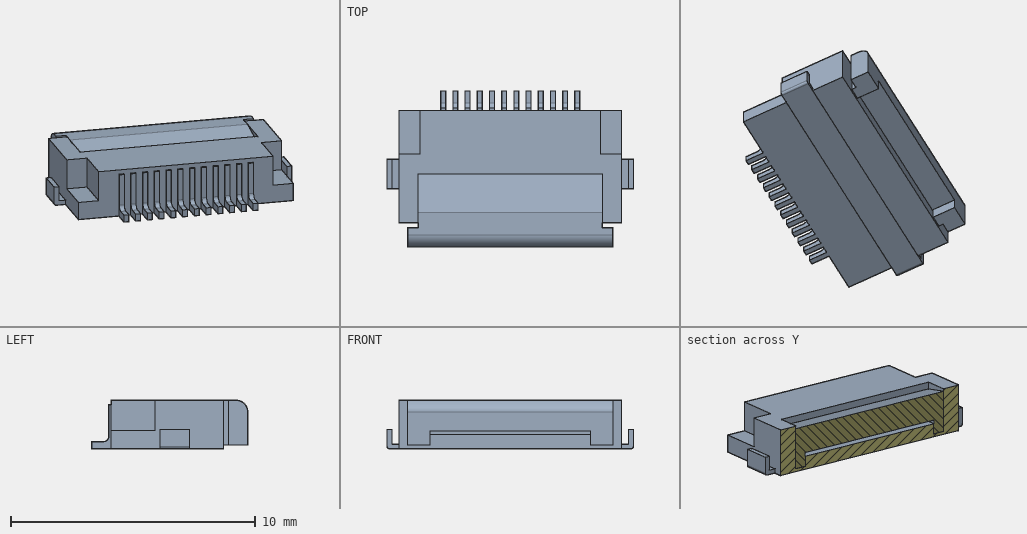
import cadquery as cq


total_width = 10.1
total_depth = 6.4
height = 2.0

housing_width = 9.13
housing_depth = 4.62
corner_step_width = 0.86
corner_step_depth = 1.8
corner_step_height = 0.75
tongue_height = 0.59

contact_count = 12
contact_row_length = 5.49
contact_width = 0.21
contact_top = 1.82
contact_stem = 0.1
foot_length = 0.8
foot_height = 0.3
foot_fillet = 0.2

head_width = 8.4
neck_width = 7.54
head_depth = 0.8
slider_bottom = 0.15
mouth_width = 6.56
mouth_top = 0.73
front_radius = 0.49
ramp_start_from_front = 1.41
slider_depth = 3.0
ramp_drop = 0.29

bracket_width = 1.22
bracket_rear_offset = 2.0
bracket_height = 0.8
strap_thickness = 0.19
end_thickness = 0.21
bracket_bend_radius = 0.1

contact_pitch = contact_row_length / (contact_count - 1)
slider_front = housing_depth + foot_length - total_depth
slider_rear = slider_front + slider_depth
head_rear = slider_front + head_depth
ramp_start = slider_front + ramp_start_from_front
bracket_y_max = housing_depth - bracket_rear_offset
bracket_y_min = bracket_y_max - bracket_width


def box(x_size, y_range, z_range, x_center=0.0):
    """Block centred on x_center that spans the given Y and Z ranges."""
    y_min, y_max = y_range
    z_min, z_max = z_range
    return (
        cq.Workplane("XY")
        .box(x_size, y_max - y_min, z_max - z_min, centered=(True, False, False))
        .translate((x_center, y_min, z_min))
    )


def make_contact(x_center):
    """L-shaped contact: a stem flat on the housing rear and a foot on the board."""
    stem_rear = housing_depth + contact_stem
    foot_rear = housing_depth + foot_length
    return (
        cq.Workplane("YZ")
        .moveTo(housing_depth, 0)
        .lineTo(foot_rear, 0)
        .lineTo(foot_rear, foot_height)
        .lineTo(stem_rear + foot_fillet, foot_height)
        .radiusArc((stem_rear, foot_height + foot_fillet), foot_fillet)
        .lineTo(stem_rear, contact_top)
        .lineTo(housing_depth, contact_top)
        .close()
        .extrude(contact_width / 2, both=True)
        .translate((x_center, 0, 0))
    )


def make_housing():
    """Insulating block with stepped rear corners, a slider pocket and the contacts."""
    block = box(housing_width, (0, housing_depth), (0, height))

    step_center = (housing_width - corner_step_width) / 2
    step_front = housing_depth - corner_step_depth
    step_y = (step_front, housing_depth)
    step_z = (corner_step_height, height)
    for side in (-1, 1):
        block = block.cut(box(corner_step_width, step_y, step_z, side * step_center))

    block = block.cut(box(neck_width, (0, slider_rear), (slider_bottom, height)))
    block = block.union(box(mouth_width, (0, slider_rear), (0, tongue_height)))

    block = block.cut(box(housing_width, (bracket_y_min, bracket_y_max), (0, strap_thickness)))

    row_start = -contact_row_length / 2
    for index in range(contact_count):
        block = block.union(make_contact(row_start + index * contact_pitch))
    return block


def make_slider():
    """Locking slider: rounded head, narrower neck with a ramped top, and a mouth below."""
    head = box(head_width, (slider_front, head_rear), (slider_bottom, height))
    head = head.faces("<Y").edges(">Z").fillet(front_radius)
    neck = (
        cq.Workplane("YZ")
        .moveTo(head_rear, slider_bottom)
        .lineTo(slider_rear, slider_bottom)
        .lineTo(slider_rear, height - ramp_drop)
        .lineTo(ramp_start, height)
        .lineTo(head_rear, height)
        .close()
        .extrude(neck_width / 2, both=True)
    )
    mouth = box(mouth_width, (slider_front, slider_rear), (slider_bottom, mouth_top))
    return head.union(neck).cut(mouth)


def make_bracket():
    """Hold-down strap whose two ends turn up beside the housing."""
    y_range = (bracket_y_min, bracket_y_max)
    bracket = box(total_width, y_range, (0, bracket_height))
    bracket = bracket.edges("|Y and <Z").fillet(bracket_bend_radius)
    inner_width = total_width - 2 * end_thickness
    return bracket.cut(box(inner_width, y_range, (strap_thickness, bracket_height)))


housing = make_housing()
slider = make_slider()
bracket = make_bracket()

result = cq.Compound.makeCompound([housing.solids().val(), slider.solids().val(), bracket.solids().val()])